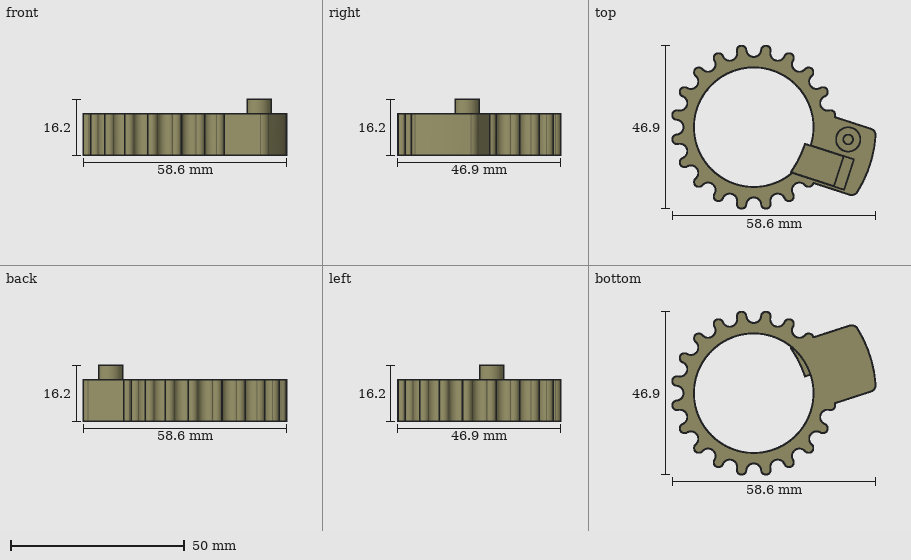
import cadquery as cq
import math

ring_height = 12.0
bore_radius = 34.4 / 2
lobe_count = 20
lobe_angle = 360 / lobe_count
lobe_radius = 2.8 / 2
valley_radius = 4.2 / 2
pitch_radius = 22.35

lug_direction = -lobe_angle
lug_half_width = 10.0
lug_outer_radius = 35.2
lug_corner_radius = 2.0

block_width = 9.0
block_center_y = -block_width / 2
block_inner_x = 15.5
block_outer_x = 27.2
block_face_radius = 31.0
floor_thickness = 3.0

slot_clearance = 0.1
slot_width = block_width + 2 * slot_clearance
slot_end_x = 30.3

recess_diameter = 6.5
recess_depth = 2.2
recess_center_z = (floor_thickness + ring_height) / 2

boss_diameter = 7.0
boss_height = 4.2
boss_hole_diameter = 2.8
boss_center = (26.95, (lug_half_width + slot_clearance) / 2)


def polar(radius, degrees):
    angle = math.radians(degrees)
    return (radius * math.cos(angle), radius * math.sin(angle))


def aim_at_lug(body):
    return body.rotate((0, 0, 0), (0, 0, 1), lug_direction)


def make_toothed_disc():
    """Disc whose rim alternates round lobes and round valleys, a valley lying on +X."""
    lobe_half_angle = math.degrees(2 * math.asin(lobe_radius / (2 * pitch_radius)))
    first_lobe = lobe_angle / 2
    outline = cq.Workplane("XY").moveTo(*polar(pitch_radius, first_lobe - lobe_half_angle))
    for index in range(lobe_count):
        lobe_middle = first_lobe + index * lobe_angle
        valley_middle = lobe_middle + lobe_angle / 2
        next_lobe_start = lobe_middle + lobe_angle - lobe_half_angle
        outline = outline.threePointArc(
            polar(pitch_radius + lobe_radius, lobe_middle),
            polar(pitch_radius, lobe_middle + lobe_half_angle),
        )
        outline = outline.threePointArc(
            polar(pitch_radius - valley_radius, valley_middle),
            polar(pitch_radius, next_lobe_start),
        )
    return outline.close().extrude(ring_height)


def make_lug():
    """Straight-sided lug with a rounded outer end, starting inside the ring wall."""
    corner_x = math.sqrt(lug_outer_radius**2 - lug_half_width**2)
    inner_x = math.sqrt(bore_radius**2 - lug_half_width**2)
    return (
        cq.Workplane("XY")
        .moveTo(inner_x, -lug_half_width)
        .lineTo(corner_x, -lug_half_width)
        .threePointArc((lug_outer_radius, 0), (corner_x, lug_half_width))
        .lineTo(inner_x, lug_half_width)
        .close()
        .extrude(ring_height)
        .edges("|Z")
        .edges(">X")
        .fillet(lug_corner_radius)
    )


def make_slot():
    """Slot running from the ring axis, inside the bore, out to its end wall."""
    return cq.Workplane("XY", origin=(0, block_center_y, floor_thickness)).box(
        slot_end_x, slot_width, ring_height - floor_thickness, centered=(False, True, False)
    )


def make_recess():
    return (
        cq.Workplane("YZ", origin=(slot_end_x, block_center_y, recess_center_z))
        .circle(recess_diameter / 2)
        .extrude(recess_depth)
    )


def make_boss():
    return (
        cq.Workplane("XY", origin=(*boss_center, ring_height))
        .circle(boss_diameter / 2)
        .circle(boss_hole_diameter / 2)
        .extrude(boss_height)
    )


def make_ring():
    bore = cq.Workplane("XY").circle(bore_radius).extrude(ring_height)
    ring = make_toothed_disc().union(make_lug()).cut(bore)
    ring = ring.cut(make_slot()).cut(make_recess()).union(make_boss())
    return aim_at_lug(ring)


def make_block():
    """Block resting on the slot floor, its hollow inner face reaching into the bore."""
    face_center_x = block_inner_x - block_face_radius

    def face_point(y):
        return (face_center_x + math.sqrt(block_face_radius**2 - y**2), y)

    block = (
        cq.Workplane("XY", origin=(0, 0, floor_thickness))
        .moveTo(*face_point(0))
        .threePointArc(face_point(-block_width / 2), face_point(-block_width))
        .lineTo(block_outer_x, -block_width)
        .lineTo(block_outer_x, 0)
        .close()
        .extrude(ring_height - floor_thickness)
    )
    return aim_at_lug(block)


ring = make_ring()
block = make_block()
result = cq.Compound.makeCompound([ring.val(), block.val()])